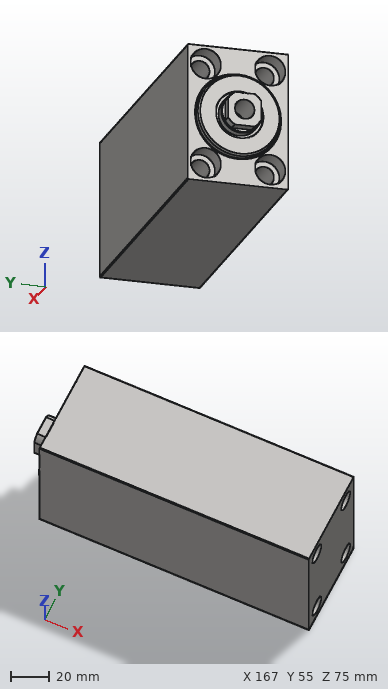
import cadquery as cq
import math

TOTAL_LENGTH = 167.0
HOUSING_WIDTH = 55.0
HOUSING_HEIGHT = 75.0
ROD_PROJECTION = 11.9
HOUSING_LENGTH = TOTAL_LENGTH - ROD_PROJECTION
HOUSING_EDGE_CHAMFER = 0.5

HOLE_SPACING_Y = 35.0
HOLE_SPACING_Z = 55.0
HOLE_DIAMETER = 10.7
COUNTERBORE_DIAMETER = 16.5
COUNTERBORE_DEPTH = 10.7

GLAND_DIAMETER = 45.1
GLAND_DEPTH = 30.0
GLAND_PROJECTION = 3.2
GLAND_CHAMFER = 1.0
BORE_MOUTH_CHAMFER = 1.0
WIPER_SEAT_DIAMETER = 25.9
WIPER_SEAT_DEPTH = 2.0

ROD_DIAMETER = 22.0
ROD_CHAMFER = 0.5
ROD_TIP_X = -ROD_PROJECTION
WRENCH_END_DIAMETER = ROD_DIAMETER - 2 * ROD_CHAMFER
WRENCH_END_LENGTH = 5.5
ACROSS_FLATS = 18.0
ROD_HOLE_DIAMETER = 10.7
ROD_HOLE_DEPTH = 20.0
DRILL_POINT_ANGLE = 118.0


def cylinder(diameter, start_x, end_x):
    """Cylinder along the rod axis between two X positions."""
    return cq.Workplane("YZ", origin=(start_x, 0, 0)).circle(diameter / 2).extrude(end_x - start_x)


def corner_holes(diameter, depth):
    """Four corner cylinders that run from the housing front face to a depth."""
    return (
        cq.Workplane("YZ")
        .rect(HOLE_SPACING_Y, HOLE_SPACING_Z, forConstruction=True)
        .vertices()
        .circle(diameter / 2)
        .extrude(depth)
    )


def revolve_about_rod_axis(profile):
    """Solid turned from a closed profile of (x, radius) points."""
    return cq.Workplane("XY").polyline(profile).close().revolve(360, (0, 0, 0), (1, 0, 0))


def make_gland_bore():
    """Blind bore for the gland, with a chamfered mouth."""
    radius = GLAND_DIAMETER / 2
    profile = [
        (0, 0),
        (0, radius + BORE_MOUTH_CHAMFER),
        (BORE_MOUTH_CHAMFER, radius),
        (GLAND_DEPTH, radius),
        (GLAND_DEPTH, 0),
    ]
    return revolve_about_rod_axis(profile)


def make_housing():
    block = (
        cq.Workplane("YZ")
        .rect(HOUSING_WIDTH, HOUSING_HEIGHT)
        .extrude(HOUSING_LENGTH)
        .edges("|X")
        .chamfer(HOUSING_EDGE_CHAMFER)
    )
    return (
        block.cut(corner_holes(HOLE_DIAMETER, HOUSING_LENGTH))
        .cut(corner_holes(COUNTERBORE_DIAMETER, COUNTERBORE_DEPTH))
        .cut(make_gland_bore())
    )


def make_gland():
    face_x = -GLAND_PROJECTION
    bush = cylinder(GLAND_DIAMETER, face_x, GLAND_DEPTH).faces("<X").chamfer(GLAND_CHAMFER)
    rod_bore = cylinder(ROD_DIAMETER, face_x, GLAND_DEPTH)
    wiper_seat = cylinder(WIPER_SEAT_DIAMETER, face_x, face_x + WIPER_SEAT_DEPTH)
    return bush.cut(rod_bore).cut(wiper_seat)


def make_rod_hole():
    """Blind hole with a conical drill point."""
    radius = ROD_HOLE_DIAMETER / 2
    point_length = radius / math.tan(math.radians(DRILL_POINT_ANGLE / 2))
    bottom_x = ROD_TIP_X + ROD_HOLE_DEPTH
    profile = [
        (ROD_TIP_X, 0),
        (ROD_TIP_X, radius),
        (bottom_x, radius),
        (bottom_x + point_length, 0),
    ]
    return revolve_about_rod_axis(profile)


def make_rod():
    shoulder_x = ROD_TIP_X + WRENCH_END_LENGTH
    shaft = cylinder(ROD_DIAMETER, shoulder_x, GLAND_DEPTH).faces("<X").chamfer(ROD_CHAMFER)
    flats = (
        cq.Workplane("YZ", origin=(ROD_TIP_X, 0, 0))
        .rect(ACROSS_FLATS, ACROSS_FLATS)
        .extrude(WRENCH_END_LENGTH)
    )
    wrench_end = cylinder(WRENCH_END_DIAMETER, ROD_TIP_X, shoulder_x).intersect(flats)
    return shaft.union(wrench_end).cut(make_rod_hole())


housing = make_housing()
gland = make_gland()
rod = make_rod()

result = cq.Compound.makeCompound([housing.val(), gland.val(), rod.val()])